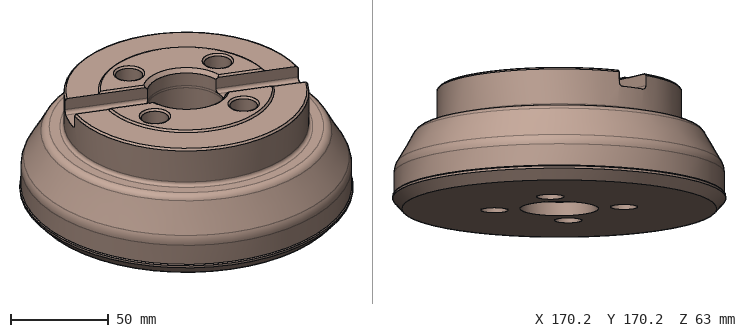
import cadquery as cq
import math

OVERALL_DIAMETER = 170.2
OVERALL_HEIGHT = 63.0

RING_HEIGHT = 7.0
RING_LAND_TOP = 6.5
RING_LAND_BOTTOM = 5.3
RING_BEVEL_WIDTH = 4.8

BODY_RADIUS = 169.0 / 2
BODY_CYLINDER_TOP = 18.0
SHOULDER_HEIGHT = 40.8
CONE_ANGLE = math.radians(30)
LOWER_FILLET = 10.0
UPPER_FILLET = 5.0
HUB_RADIUS = 125.0 / 2
HUB_ROOT_FILLET = 2.0
EDGE_CHAMFER = 1.0

PAD_HEIGHT = 1.0
PAD_RADIUS = 45.0
HUB_TOP = OVERALL_HEIGHT - PAD_HEIGHT

BORE_DIAMETER = 40.0
UPPER_BORE_DIAMETER = 40.2
BORE_TAPER_HEIGHT = 1.2
BORE_CHAMFER = 2.0
BOLT_DIAMETER = 14.0
BOLT_CHAMFER = 1.0
BOLT_CIRCLE_RADIUS = 33.4
BOLT_COUNT = 4
BOLT_START_ANGLE = 45
SLOT_WIDTH = 17.0
SLOT_DEPTH = 9.4
SLOT_FILLET = 2.0
SLOT_FLOOR = OVERALL_HEIGHT - SLOT_DEPTH


def revolve_about_z(profile):
    return profile.close().revolve(360, (0, 0, 0), (0, 1, 0))


def arc_point(center, radius, angle):
    """Point on an arc; the angle is measured upward from the radial direction."""
    return (center[0] + radius * math.cos(angle), center[1] + radius * math.sin(angle))


def make_blank():
    """Turned body with its cone blended into the cylinder and the shoulder."""
    lower_center = (BODY_RADIUS - LOWER_FILLET, BODY_CYLINDER_TOP)
    cone_start = arc_point(lower_center, LOWER_FILLET, CONE_ANGLE)
    upper_center_z = SHOULDER_HEIGHT - UPPER_FILLET
    cone_end_z = upper_center_z + UPPER_FILLET * math.sin(CONE_ANGLE)
    cone_end_r = cone_start[0] - (cone_end_z - cone_start[1]) * math.tan(CONE_ANGLE)
    upper_center = (cone_end_r - UPPER_FILLET * math.cos(CONE_ANGLE), upper_center_z)
    upper_mid_angle = (CONE_ANGLE + math.pi / 2) / 2
    root_center = (HUB_RADIUS + HUB_ROOT_FILLET, SHOULDER_HEIGHT + HUB_ROOT_FILLET)

    profile = (
        cq.Workplane("XZ")
        .moveTo(0, RING_HEIGHT)
        .lineTo(BODY_RADIUS, RING_HEIGHT)
        .lineTo(BODY_RADIUS, BODY_CYLINDER_TOP)
        .threePointArc(arc_point(lower_center, LOWER_FILLET, CONE_ANGLE / 2), cone_start)
        .lineTo(cone_end_r, cone_end_z)
        .threePointArc(
            arc_point(upper_center, UPPER_FILLET, upper_mid_angle),
            (upper_center[0], SHOULDER_HEIGHT),
        )
        .lineTo(root_center[0], SHOULDER_HEIGHT)
        .threePointArc(
            arc_point(root_center, HUB_ROOT_FILLET, math.radians(225)),
            (HUB_RADIUS, root_center[1]),
        )
        .lineTo(HUB_RADIUS, HUB_TOP - EDGE_CHAMFER)
        .lineTo(HUB_RADIUS - EDGE_CHAMFER, HUB_TOP)
        .lineTo(PAD_RADIUS, HUB_TOP)
        .lineTo(PAD_RADIUS - PAD_HEIGHT, OVERALL_HEIGHT)
        .lineTo(0, OVERALL_HEIGHT)
    )
    return revolve_about_z(profile)


def make_bore_cutter():
    """Centre bore: slightly wider above the slot floor and chamfered at the top."""
    radius = BORE_DIAMETER / 2
    upper_radius = UPPER_BORE_DIAMETER / 2
    profile = (
        cq.Workplane("XZ")
        .lineTo(radius, 0)
        .lineTo(radius, SLOT_FLOOR - BORE_TAPER_HEIGHT)
        .lineTo(upper_radius, SLOT_FLOOR)
        .lineTo(upper_radius, OVERALL_HEIGHT - BORE_CHAMFER)
        .lineTo(upper_radius + BORE_CHAMFER, OVERALL_HEIGHT)
        .lineTo(0, OVERALL_HEIGHT)
    )
    return revolve_about_z(profile)


def make_bolt_cutter():
    """Four through-holes, each chamfered at the pad's top face."""
    radius = BOLT_DIAMETER / 2
    profile = (
        cq.Workplane("XZ")
        .lineTo(radius, 0)
        .lineTo(radius, OVERALL_HEIGHT - BOLT_CHAMFER)
        .lineTo(radius + BOLT_CHAMFER, OVERALL_HEIGHT)
        .lineTo(0, OVERALL_HEIGHT)
    )
    drill = revolve_about_z(profile)
    cutter = cq.Workplane("XY")
    for index in range(BOLT_COUNT):
        angle = BOLT_START_ANGLE + index * 360 / BOLT_COUNT
        cutter = cutter.add(drill.translate((BOLT_CIRCLE_RADIUS, 0, 0)).rotate((0, 0, 0), (0, 0, 1), angle))
    return cutter.combine()


def make_slot_cutter():
    """Key slot along Y with rounded floor corners and a bevel where it crosses the pad."""
    half = SLOT_WIDTH / 2
    channel = (
        cq.Workplane("XY")
        .box(SLOT_WIDTH, OVERALL_DIAMETER, SLOT_DEPTH, centered=(True, True, False))
        .edges("|Y and <Z")
        .fillet(SLOT_FILLET)
        .translate((0, 0, SLOT_FLOOR))
    )
    bevel = (
        cq.Workplane("XZ")
        .polyline([
            (-half, HUB_TOP),
            (half, HUB_TOP),
            (half + PAD_HEIGHT, OVERALL_HEIGHT),
            (-half - PAD_HEIGHT, OVERALL_HEIGHT),
        ])
        .close()
        .extrude(OVERALL_DIAMETER / 2, both=True)
    )
    return channel.union(bevel)


def make_wheel_body():
    return make_blank().cut(make_bore_cutter()).cut(make_bolt_cutter()).cut(make_slot_cutter())


def make_rim_ring():
    """Bevelled disc under the wheel body, with the bore and bolt holes passing through."""
    outer_radius = OVERALL_DIAMETER / 2
    profile = (
        cq.Workplane("XZ")
        .lineTo(outer_radius - RING_BEVEL_WIDTH, 0)
        .lineTo(outer_radius, RING_LAND_BOTTOM)
        .lineTo(outer_radius, RING_LAND_TOP)
        .lineTo(BODY_RADIUS, RING_HEIGHT)
        .lineTo(0, RING_HEIGHT)
    )
    return revolve_about_z(profile).cut(make_bore_cutter()).cut(make_bolt_cutter())


wheel_body = make_wheel_body()
rim_ring = make_rim_ring()

result = cq.Compound.makeCompound([wheel_body.val(), rim_ring.val()])